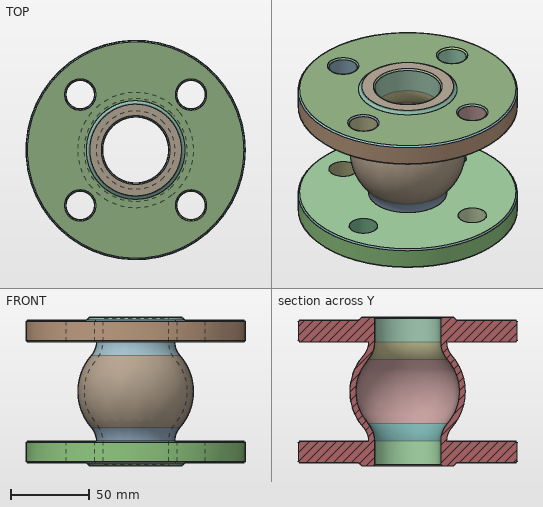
import cadquery as cq
import math

flange_diameter = 140.0
flange_radius = flange_diameter / 2
total_height = 95.0
end_z = total_height / 2

flange_thickness = 14.0
edge_chamfer = 1.0
raised_face_height = 2.0
flange_outer_z = end_z - raised_face_height
flange_inner_z = flange_outer_z - flange_thickness

face_base_radius = 31.5
face_rim_radius = 29.7
face_edge_width = 0.4
face_edge_height = 0.3

bolt_hole_diameter = 18.0
bolt_circle_diameter = 100.0
bolt_count = 4

bore_radius = 21.0
wall = 4.0
neck_radius = bore_radius + wall
bulge_radius = 37.0
bulge_arc_radius = 35.0


def bulge_solid(skin_offset):
    """Body of revolution between the flanges, with its skin moved inward by skin_offset."""
    arc_center_r = bulge_radius - bulge_arc_radius
    neck_run = neck_radius - arc_center_r
    neck_arc_radius = (neck_run**2 + flange_inner_z**2 - bulge_arc_radius**2) / (
        2 * (bulge_arc_radius - neck_run)
    )
    neck_center_r = neck_radius + neck_arc_radius
    join_angle = math.atan2(flange_inner_z, neck_center_r - arc_center_r)

    convex_radius = bulge_arc_radius - skin_offset
    concave_radius = neck_arc_radius + skin_offset
    join_r = arc_center_r + convex_radius * math.cos(join_angle)
    join_z = convex_radius * math.sin(join_angle)
    concave_middle_r = neck_center_r - concave_radius * math.cos(join_angle / 2)
    concave_middle_z = flange_inner_z - concave_radius * math.sin(join_angle / 2)
    end_r = neck_radius - skin_offset

    profile = (
        cq.Workplane("XZ")
        .moveTo(0, -flange_inner_z)
        .lineTo(end_r, -flange_inner_z)
        .threePointArc((concave_middle_r, -concave_middle_z), (join_r, -join_z))
        .threePointArc((bulge_radius - skin_offset, 0), (join_r, join_z))
        .threePointArc((concave_middle_r, concave_middle_z), (end_r, flange_inner_z))
        .lineTo(0, flange_inner_z)
        .close()
    )
    return profile.revolve(360, (0, 0, 0), (0, 1, 0))


def chamfer_cutter(hole_radius, outer_z):
    """Cone that opens a hole by the edge chamfer at the height outer_z."""
    return cq.Workplane(
        cq.Solid.makeCone(
            hole_radius, hole_radius + edge_chamfer, edge_chamfer,
            pnt=cq.Vector(0, 0, outer_z - edge_chamfer),
        )
    )


def upper_flange():
    """Upper flange disc with its raised face, bolt holes and chamfered bore."""
    disc = (
        cq.Workplane("XY")
        .workplane(offset=flange_inner_z)
        .circle(flange_radius)
        .extrude(flange_thickness)
        .edges()
        .chamfer(edge_chamfer)
    )
    raised_face = (
        cq.Workplane("XZ")
        .moveTo(0, flange_outer_z)
        .lineTo(face_base_radius, flange_outer_z)
        .lineTo(face_rim_radius, end_z - face_edge_height)
        .lineTo(face_rim_radius - face_edge_width, end_z)
        .lineTo(0, end_z)
        .close()
        .revolve(360, (0, 0, 0), (0, 1, 0))
    )
    bore = (
        cq.Workplane("XY")
        .workplane(offset=flange_inner_z)
        .circle(bore_radius)
        .extrude(end_z - flange_inner_z)
        .union(chamfer_cutter(bore_radius, end_z))
    )
    flange = disc.union(raised_face).cut(bore)

    bolt_hole = (
        cq.Workplane("XY")
        .workplane(offset=flange_inner_z)
        .circle(bolt_hole_diameter / 2)
        .extrude(flange_thickness)
        .union(chamfer_cutter(bolt_hole_diameter / 2, flange_outer_z))
        .translate((bolt_circle_diameter / 2, 0, 0))
    )
    pitch_angle = 360 / bolt_count
    for index in range(bolt_count):
        angle = pitch_angle * (index + 0.5)
        flange = flange.cut(bolt_hole.rotate((0, 0, 0), (0, 0, 1), angle))
    return flange


body = bulge_solid(0).cut(bulge_solid(wall))
flange = upper_flange()
result = body.union(flange).union(flange.mirror("XY"))